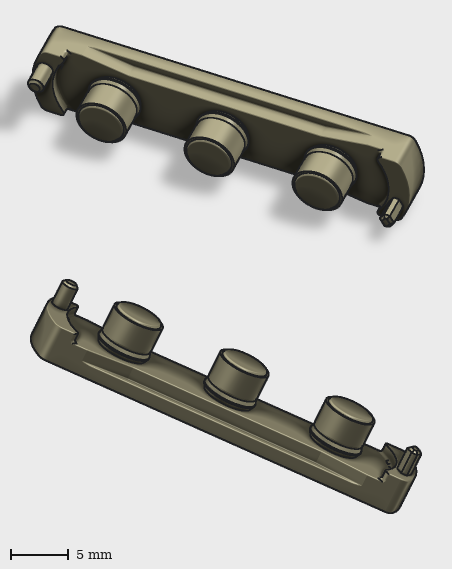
import cadquery as cq
import math

length = 35.52
height = 7.65
end_depth = 3.37
floor_depth = 2.5
edge_break = 0.1

button_pitch = 10.15
button_tip_depth = 6.18
bead_root_radius = 2.25
bead_radius = 2.45
button_neck_radius = 2.3
button_radius = 2.35
button_tip_radius = 2.13
button_tip_round = 0.2
bead_start_depth = 2.88
bead_end_depth = 3.02
neck_depth = 3.45
barrel_depth = 3.65
shoulder_depth = 5.93

corner_radius = 0.8
recess_radius = 5.65
recess_fillet = 0.3
horn_round = 0.4

groove_depth = 1.28
groove_wall_z = 3.05
groove_half_flat = 9.02
groove_half_length = 13.43

pin_x = 16.5
pin_z = 1.6
pin_radius = 0.75
pin_tip_depth = 5.72
pin_chamfer = 0.25
diamond_half_width = 0.67
diamond_slope = 60.0

sink = 0.35

half_length = length / 2
half_height = height / 2
end_radius = half_length - button_pitch

floor_end_x = button_pitch + math.sqrt((recess_radius - recess_fillet) ** 2 - half_height**2)

plate_half_length = button_pitch + math.sqrt(
    (recess_radius + horn_round) ** 2 - (half_height - horn_round) ** 2
)


def at_depth(depth):
    """Workplane parallel to the back face whose normal points toward -Y."""
    return cq.Workplane("XZ", origin=(0, -depth, 0))


def make_bar():
    """Bar with arched ends and rounded corners."""
    corner_x = button_pitch + math.sqrt(end_radius**2 - half_height**2)
    bar = (
        at_depth(0)
        .moveTo(-corner_x, -half_height)
        .lineTo(corner_x, -half_height)
        .threePointArc((half_length, 0), (corner_x, half_height))
        .lineTo(-corner_x, half_height)
        .threePointArc((-half_length, 0), (-corner_x, -half_height))
        .close()
        .extrude(end_depth)
    )
    return bar.edges("|Y").fillet(corner_radius)


def make_end_pads(bar):
    """Both ends of the bar, each with a raised pad whose curved wall meets the floor in a fillet."""
    pocket = at_depth(floor_depth).rect(2 * button_pitch, height).extrude(end_depth)
    ends = (
        at_depth(floor_depth)
        .pushPoints([(-button_pitch, 0), (button_pitch, 0)])
        .circle(recess_radius)
        .extrude(end_depth)
    )
    recessed = bar.cut(pocket.union(ends))

    floor_center = cq.selectors.NearestToPointSelector((0, -floor_depth, 0))
    recessed = recessed.faces(floor_center).edges("%CIRCLE").fillet(recess_fillet)

    horn_x = button_pitch + math.sqrt(recess_radius**2 - half_height**2)
    horns = cq.selectors.BoxSelector(
        (-horn_x - edge_break, -end_depth, -height), (horn_x + edge_break, -floor_depth, height)
    )
    recessed = recessed.edges("|Y").edges(horns).fillet(horn_round)

    middle = at_depth(0).rect(2 * floor_end_x, height).extrude(end_depth)
    return recessed.cut(middle)


def soften_outline(bar):
    """Bar with its front and back outlines broken."""
    return bar.faces("<Y or >Y").edges().fillet(edge_break)


def make_groove():
    """Cutter for a shallow groove in the top side, with tapered ends and a rounded root."""
    groove = (
        at_depth(groove_depth)
        .moveTo(-groove_half_length, half_height)
        .lineTo(-groove_half_flat, groove_wall_z)
        .lineTo(groove_half_flat, groove_wall_z)
        .lineTo(groove_half_length, half_height)
        .lineTo(groove_half_length, height)
        .lineTo(-groove_half_length, height)
        .close()
        .extrude(end_depth)
    )
    root = cq.selectors.BoxSelector(
        (-half_length, -groove_depth - edge_break, 0), (half_length, 0, half_height)
    )
    return groove.edges(">Y").edges(root).fillet(edge_break)


def make_floor_plate():
    """Middle of the bar up to floor depth, with both grooves and softened long edges."""
    plate = at_depth(0).rect(2 * plate_half_length, height).extrude(floor_depth)
    groove = make_groove()
    plate = plate.cut(groove).cut(groove.mirror("XY"))
    plate = plate.faces("<Y").edges("not |Z").fillet(edge_break)
    openings = cq.selectors.BoxSelector(
        (-groove_half_flat, -groove_depth - edge_break, -height),
        (groove_half_flat, -groove_depth + edge_break, height),
    )
    return plate.faces("<Z or >Z").edges(openings).fillet(edge_break)


def make_button():
    """Stepped round button on the Z = 0 line with a bead at its root."""
    profile = (
        cq.Workplane("XY")
        .moveTo(0, -floor_depth + sink)
        .lineTo(bead_root_radius, -floor_depth + sink)
        .lineTo(bead_root_radius, -floor_depth)
        .lineTo(bead_radius, -bead_start_depth)
        .lineTo(bead_radius, -bead_end_depth)
        .lineTo(button_neck_radius, -neck_depth)
        .lineTo(button_radius, -barrel_depth)
        .lineTo(button_radius, -shoulder_depth)
        .lineTo(button_tip_radius, -shoulder_depth)
        .lineTo(button_tip_radius, -button_tip_depth)
        .lineTo(0, -button_tip_depth)
        .close()
    )
    button = profile.revolve(360, (0, 0, 0), (0, 1, 0))
    return button.faces("<Y").edges().fillet(button_tip_round)


def extrude_pin(section):
    """Extrude a closed section, drawn just inside an end pad, up to the pin tip."""
    return section.extrude(pin_tip_depth - end_depth + sink)


def chamfer_tip(pin):
    return pin.faces("<Y").edges().chamfer(pin_chamfer)


def make_round_pin():
    """Full round locating pin with a chamfered tip."""
    return chamfer_tip(extrude_pin(at_depth(end_depth - sink).circle(pin_radius)))


def make_diamond_pin():
    """Relieved locating pin: a round pin trimmed by a rhombus, with a chamfered tip."""
    apex = diamond_half_width * math.tan(math.radians(diamond_slope))
    corners = [(diamond_half_width, 0), (0, apex), (-diamond_half_width, 0), (0, -apex)]
    rhombus = extrude_pin(at_depth(end_depth - sink).polyline(corners).close())
    round_pin = extrude_pin(at_depth(end_depth - sink).circle(pin_radius))
    return chamfer_tip(round_pin.intersect(rhombus))


bar = make_bar()
result = make_end_pads(bar).union(make_floor_plate()).intersect(soften_outline(bar))
for x in (-button_pitch, 0, button_pitch):
    result = result.union(make_button().translate((x, 0, 0)))
result = result.union(make_round_pin().translate((-pin_x, 0, pin_z)))
result = result.union(make_diamond_pin().translate((pin_x, 0, -pin_z)))